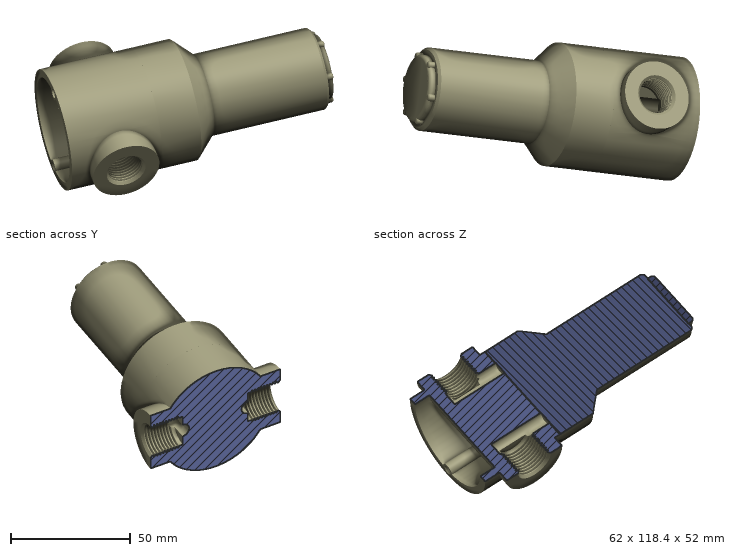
import cadquery as cq
import math

BODY_DIAMETER = 52.0
BASE_LENGTH = 39.3
TOTAL_LENGTH = 118.4

CAVITY_DIAMETER = 45.0
PIPE_DIAMETER = 29.0
PIPE_LENGTH = 62.0
PIPE_Y = 22.0
FLOOR_Y = 20.0

THREAD_MAJOR_DIAMETER = 17.0
THREAD_MINOR_DIAMETER = 14.9
THREAD_PITCH = 1.4
THREAD_GROOVE_WIDTH = 1.0
THREAD_START = 1.4
THREAD_TURNS = 9
PORT_DEPTH = 15.4
CHANNEL_DIAMETER = 6.0
CHANNEL_OVERRUN = 1.2

BOSS_DIAMETER = 6.0
SCREW_HOLE_DIAMETER = 4.0
SCREW_HOLE_DEPTH = 12.0

NECK_DIAMETER = 35.0
CONE_START_Y = 56.5
NECK_CHAMFER = 1.1

CAP_DIAMETER = 28.4
CAP_HEIGHT = 3.0
CAP_FILLET = 1.5
RIB_CIRCLE_RADIUS = 14.0
RIB_DIAMETER = 3.1
RIB_FILLET = 1.0
RIB_COUNT = 6

NECK_END_Y = TOTAL_LENGTH - CAP_HEIGHT


def cylinder_along_y(diameter, start_y, end_y, x=0.0, z=0.0):
    """Cylinder parallel to the Y axis between two Y positions."""
    return cq.Workplane(
        cq.Solid.makeCylinder(diameter / 2, end_y - start_y, cq.Vector(x, start_y, z), cq.Vector(0, 1, 0))
    )


def cross_pipe():
    """Solid pipe across the base, running along X."""
    return cq.Workplane(
        cq.Solid.makeCylinder(
            PIPE_DIAMETER / 2, PIPE_LENGTH, cq.Vector(-PIPE_LENGTH / 2, PIPE_Y, 0), cq.Vector(1, 0, 0)
        )
    )


def threaded_port():
    """Cutter for the -X port: a chamfered bore with ring-shaped V grooves for the thread."""
    face_x = -PIPE_LENGTH / 2
    minor_radius = THREAD_MINOR_DIAMETER / 2
    major_radius = THREAD_MAJOR_DIAMETER / 2
    chamfer = major_radius - minor_radius
    profile = (
        cq.Workplane("XY")
        .moveTo(face_x, 0)
        .lineTo(face_x, major_radius)
        .lineTo(face_x + chamfer, minor_radius)
    )
    for turn in range(THREAD_TURNS):
        groove_x = face_x + THREAD_START + turn * THREAD_PITCH
        profile = (
            profile.lineTo(groove_x, minor_radius)
            .lineTo(groove_x + THREAD_GROOVE_WIDTH / 2, major_radius)
            .lineTo(groove_x + THREAD_GROOVE_WIDTH, minor_radius)
        )
    end_x = face_x + PORT_DEPTH
    cutter = profile.lineTo(end_x, minor_radius).lineTo(end_x, 0).close().revolve(360, (0, 0, 0), (1, 0, 0))
    return cutter.translate((0, PIPE_Y, 0))


def make_base():
    base = cylinder_along_y(BODY_DIAMETER, 0, BASE_LENGTH)
    base = base.cut(cylinder_along_y(CAVITY_DIAMETER, 0, FLOOR_Y)).union(cross_pipe())
    boss_z = CAVITY_DIAMETER / 2
    for z in (-boss_z, boss_z):
        base = base.union(cylinder_along_y(BOSS_DIAMETER, 0, FLOOR_Y, z=z))
        base = base.cut(cylinder_along_y(SCREW_HOLE_DIAMETER, 0, SCREW_HOLE_DEPTH, z=z))
    port = threaded_port()
    channel_x = PIPE_LENGTH / 2 - PORT_DEPTH
    channel_start = PIPE_Y - THREAD_MINOR_DIAMETER / 2 - CHANNEL_OVERRUN
    for cutter in (port, port.mirror("YZ")):
        base = base.cut(cutter)
    for x in (-channel_x, channel_x):
        base = base.cut(cylinder_along_y(CHANNEL_DIAMETER, channel_start, BASE_LENGTH, x=x))
    return base


def make_housing():
    body_radius = BODY_DIAMETER / 2
    neck_radius = NECK_DIAMETER / 2
    cone_end_y = CONE_START_Y + body_radius - neck_radius
    profile = cq.Workplane("XY").polyline([
        (0, BASE_LENGTH),
        (body_radius, BASE_LENGTH),
        (body_radius, CONE_START_Y),
        (neck_radius, cone_end_y),
        (neck_radius, NECK_END_Y - NECK_CHAMFER),
        (neck_radius - NECK_CHAMFER, NECK_END_Y),
        (0, NECK_END_Y),
    ]).close()
    return profile.revolve(360, (0, 0, 0), (0, 1, 0))


def make_cap():
    cap = cylinder_along_y(CAP_DIAMETER, NECK_END_Y, TOTAL_LENGTH).faces(">Y").edges().fillet(CAP_FILLET)
    for index in range(RIB_COUNT):
        angle = math.radians(90 + index * 360 / RIB_COUNT)
        x = RIB_CIRCLE_RADIUS * math.cos(angle)
        z = RIB_CIRCLE_RADIUS * math.sin(angle)
        rib = cylinder_along_y(RIB_DIAMETER, NECK_END_Y, TOTAL_LENGTH, x=x, z=z)
        cap = cap.union(rib.faces(">Y").edges().fillet(RIB_FILLET))
    return cap


base = make_base()
housing = make_housing()
cap = make_cap()
result = cq.Compound.makeCompound([base.val(), housing.val(), cap.val()])